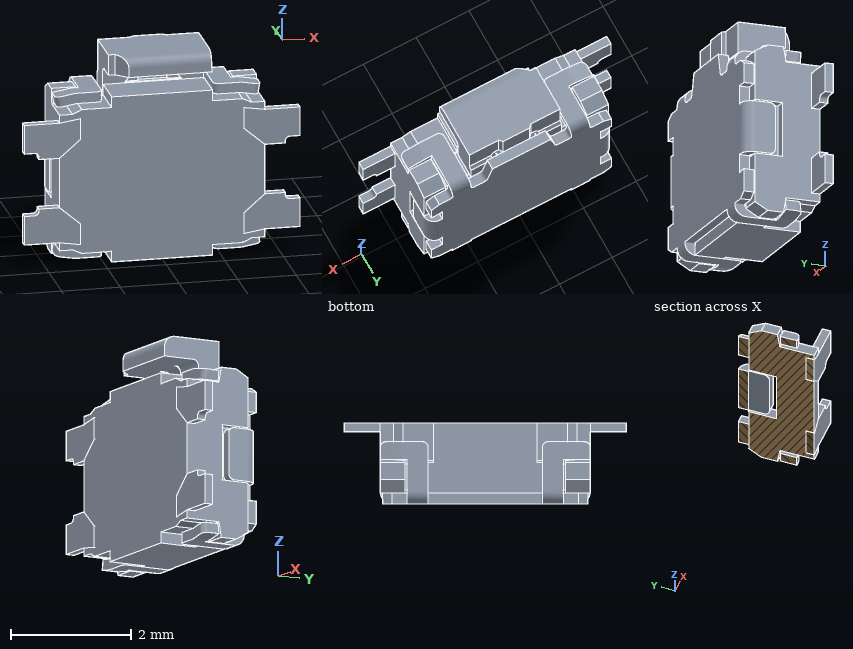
import cadquery as cq
import math


body_width = 3.5
body_height = 2.9
base_depth = 1.17
sheet = 0.18
bend_radius = 0.2

half_width = body_width / 2
half_height = body_height / 2
cover_back = base_depth + sheet
inner_bend_radius = bend_radius - sheet
bend_chord = math.sqrt(0.5)

wall_half_width = 0.86
front_wall_depth = 0.68
ledge_z = 1.263
ledge_tip_z = 1.19
ledge_slope_x = (1.37, 1.53)
ledge_bottom_y = 0.61
ledge_top_y = 0.655
channel_z = 1.2
channel_chamfer = 0.055
channel_outer_x = 1.34
corner_slope_y = 0.94
corner_slope_z = 1.32

arm_inner_x = 0.95
arm_outer_x = 1.3
clip_front_y = 0.31
foot_back_y = ledge_bottom_y
foot_bend_x = 1.385
foot_angle = math.radians(9.7)
foot_bend_radius = 0.34
clip_corner_radius = 0.1

plate_half_width = 1.71
plate_corner_drop = 0.09
plate_corner_x = 1.555
plate_top_z = 1.19
plate_bottom_z = 1.235
side_notch_x = 1.5
side_notch_z = 0.755
top_tab_z = 1.6
top_tab_half_width = 0.55
top_tab_root_half_width = 0.63
top_tab_root_radius = 0.09

tab_half_height = 0.445
tab_front_y = 0.8
tab_corner_radius = 0.1
tab_pocket_half_height = 0.47
tab_pocket_front_y = 0.675
tab_pocket_depth = bend_radius

actuator_half_width = wall_half_width
actuator_top = 2.1
stem_bottom = 0.9
stem_front_y = 0.72
hook_front_y = 0.07
hook_bottom = 1.745
hook_radius = 0.2
stem_fillet = 0.1
back_relief = 0.055
back_relief_z = 1.51
rib_half_width = 0.25
rib_wing_top = 1.6
rib_wing_half_width = 0.36
rib_foot_half_width = 0.48
wing_recess = 0.05
slot_recess = 0.1

terminal_thickness = 0.15
terminal_tip_x = 2.35
terminal_inner_x = 1.395
terminal_outer_z = 1.05
terminal_inner_z = 1.105
terminal_taper_z = 0.74
terminal_lower_z = 0.434
terminal_step_x = 2.1
terminal_step_z = 0.547
terminal_step_radius = 0.08


def extrude_x(sketch_yz, x_from, x_to):
    """Extrude a closed YZ sketch between two X positions."""
    return sketch_yz.extrude(x_to - x_from).translate((x_from, 0, 0))


def extrude_y(sketch_xz, y_from, y_to):
    """Extrude a closed XZ sketch between two Y positions."""
    return sketch_xz.extrude(y_from - y_to).translate((0, y_from, 0))


def box(x_from, x_to, y_from, y_to, z_from, z_to):
    size = (x_to - x_from, y_to - y_from, z_to - z_from)
    return cq.Workplane("XY").box(*size, centered=False).translate((x_from, y_from, z_from))


def with_x_mirror(shape):
    return shape.union(shape.mirror("YZ"))


def ledge_cut():
    """Stepped floor in front of one corner block, ending at a slanted wall."""
    slope_start, slope_end = ledge_slope_x
    floor = extrude_y(
        cq.Workplane("XZ").polyline([
            (wall_half_width, half_height),
            (wall_half_width, ledge_z),
            (slope_start, ledge_z),
            (slope_end, ledge_tip_z),
            (half_width, ledge_tip_z),
            (half_width, half_height),
        ]).close(), 0, base_depth)
    slanted_wall = extrude_x(
        cq.Workplane("YZ").polyline([
            (0, ledge_tip_z),
            (ledge_bottom_y, ledge_tip_z),
            (ledge_top_y, half_height),
            (0, half_height),
        ]).close(), 0, half_width)
    return floor.intersect(slanted_wall)


def channel_cut(x_from):
    """Channel that one clip arm lies in, chamfered at the back for the cover bend."""
    profile = cq.Workplane("YZ").polyline([
        (ledge_bottom_y, half_height),
        (ledge_bottom_y, ledge_z),
        (front_wall_depth, ledge_z),
        (front_wall_depth, channel_z),
        (base_depth - channel_chamfer, channel_z),
        (base_depth, channel_z - channel_chamfer),
        (base_depth, half_height),
    ]).close()
    return extrude_x(profile, x_from, channel_outer_x)


def corner_slope_cut():
    """Sloped back edge of one corner block."""
    profile = cq.Workplane("YZ").polyline([
        (corner_slope_y, half_height),
        (base_depth, corner_slope_z),
        (base_depth, half_height),
    ]).close()
    return extrude_x(profile, channel_outer_x, half_width)


def tab_pocket():
    return box(half_width - tab_pocket_depth, half_width, tab_pocket_front_y, base_depth,
               -tab_pocket_half_height, tab_pocket_half_height)


def make_base(terminals):
    base = box(-half_width, half_width, 0, base_depth, -half_height, half_height)
    corner = ledge_cut().union(corner_slope_cut())
    top_cuts = with_x_mirror(corner.union(channel_cut(wall_half_width)))
    bottom_cuts = with_x_mirror(corner.union(channel_cut(arm_inner_x))).mirror("XY")
    base = base.cut(top_cuts).cut(bottom_cuts).cut(with_x_mirror(tab_pocket()))

    cavity = box(-wall_half_width, wall_half_width, front_wall_depth, base_depth, channel_z, half_height)
    stem_pocket = box(-actuator_half_width, actuator_half_width, stem_front_y, base_depth,
                      stem_bottom, half_height)
    base = base.cut(cavity).cut(stem_pocket)
    for terminal in terminals:
        base = base.cut(terminal)
    return base


def plate_and_arm(root_z):
    """One quarter of the cover plate, ending at root_z, and its bent clip arm."""
    relief_radius = half_height - bend_radius - root_z
    outline = (
        cq.Workplane("XZ")
        .lineTo(side_notch_x, 0)
        .lineTo(side_notch_x, side_notch_z)
        .lineTo(plate_half_width, side_notch_z)
        .lineTo(plate_half_width, root_z - plate_corner_drop)
        .lineTo(plate_corner_x, root_z)
        .lineTo(arm_outer_x + relief_radius, root_z)
        .radiusArc((arm_outer_x, root_z + relief_radius), relief_radius)
        .lineTo(arm_outer_x, half_height)
        .lineTo(arm_inner_x, half_height)
        .lineTo(arm_inner_x, root_z + relief_radius)
        .radiusArc((arm_inner_x - relief_radius, root_z), relief_radius)
        .lineTo(0, root_z)
        .close()
    )
    bend_y = cover_back - bend_radius
    bend_z = half_height - bend_radius
    bent_sheet = (
        cq.Workplane("YZ")
        .moveTo(cover_back, 0)
        .lineTo(cover_back, bend_z)
        .threePointArc((bend_y + bend_radius * bend_chord, bend_z + bend_radius * bend_chord),
                       (bend_y, half_height))
        .lineTo(clip_front_y, half_height)
        .lineTo(clip_front_y, half_height - sheet)
        .lineTo(bend_y, half_height - sheet)
        .threePointArc((bend_y + inner_bend_radius * bend_chord, bend_z + inner_bend_radius * bend_chord),
                       (base_depth, bend_z))
        .lineTo(base_depth, 0)
        .close()
    )
    return extrude_y(outline, clip_front_y, cover_back).intersect(extrude_x(bent_sheet, 0, half_width))


def clip_foot():
    """Outward foot at the end of a clip arm, bent slightly inwards over the ledge."""
    inner_radius = foot_bend_radius - sheet
    bend_z = half_height - foot_bend_radius

    def on_bend(radius, angle, reach=0.0):
        x = foot_bend_x + radius * math.sin(angle) + reach * math.cos(angle)
        return x, bend_z + radius * math.cos(angle) - reach * math.sin(angle)

    bend_end_x = on_bend(foot_bend_radius, foot_angle)[0]
    reach = (half_width - bend_end_x) / math.cos(foot_angle)
    profile = (
        cq.Workplane("XZ")
        .moveTo(arm_inner_x, half_height)
        .lineTo(foot_bend_x, half_height)
        .threePointArc(on_bend(foot_bend_radius, foot_angle / 2), on_bend(foot_bend_radius, foot_angle))
        .lineTo(*on_bend(foot_bend_radius, foot_angle, reach))
        .lineTo(*on_bend(inner_radius, foot_angle, reach))
        .lineTo(*on_bend(inner_radius, foot_angle))
        .threePointArc(on_bend(inner_radius, foot_angle / 2), (foot_bend_x, half_height - sheet))
        .lineTo(arm_inner_x, half_height - sheet)
        .close()
    )
    foot = extrude_y(profile, clip_front_y, foot_back_y)
    for end_face in (">X", "<X"):
        foot = foot.faces(end_face).edges("<Y").fillet(clip_corner_radius)
    return foot


def cover_quarter(root_z):
    arm_end = box(arm_inner_x, arm_outer_x, clip_front_y, foot_back_y, half_height - sheet, half_height)
    return plate_and_arm(root_z).cut(arm_end).union(clip_foot())


def top_tab():
    """Upright tab behind the actuator."""
    root_z = plate_top_z
    half = (
        cq.Workplane("XZ")
        .lineTo(top_tab_root_half_width + top_tab_root_radius, 0)
        .lineTo(top_tab_root_half_width + top_tab_root_radius, root_z)
        .radiusArc((top_tab_root_half_width, root_z + top_tab_root_radius), top_tab_root_radius)
        .lineTo(top_tab_half_width, top_tab_z)
        .lineTo(0, top_tab_z)
        .close()
    )
    return with_x_mirror(extrude_y(half, base_depth, cover_back))


def side_tab():
    """Tab bent from the plate into the pocket in one side of the base."""
    bend_x = half_width - bend_radius
    bend_y = cover_back - bend_radius
    profile = (
        cq.Workplane("XY")
        .moveTo(0, cover_back)
        .lineTo(bend_x, cover_back)
        .threePointArc((bend_x + bend_radius * bend_chord, bend_y + bend_radius * bend_chord),
                       (half_width, bend_y))
        .lineTo(half_width, tab_front_y)
        .lineTo(half_width - sheet, tab_front_y)
        .lineTo(half_width - sheet, bend_y)
        .threePointArc((bend_x + inner_bend_radius * bend_chord, bend_y + inner_bend_radius * bend_chord),
                       (bend_x, base_depth))
        .lineTo(0, base_depth)
        .close()
    )
    tab = profile.extrude(tab_half_height, both=True)
    return tab.edges("|X and <Y").fillet(tab_corner_radius)


def make_cover():
    cover = with_x_mirror(cover_quarter(plate_top_z).union(cover_quarter(plate_bottom_z).mirror("XY")))
    return cover.union(top_tab()).union(with_x_mirror(side_tab()))


def rib_outline(top_z):
    """Upright rib with two splayed wings at its foot."""
    right_side = [
        (rib_foot_half_width, half_height),
        (rib_wing_half_width, rib_wing_top),
        (rib_half_width, rib_wing_top),
        (rib_half_width, top_z),
    ]
    left_side = [(-x, z) for x, z in reversed(right_side)]
    return cq.Workplane("XZ").polyline(right_side + left_side).close()


def hook_end_cut():
    """Diagonal cut across the -X end of the hook lip."""
    end_x = -actuator_half_width
    flat_end_x = -0.75
    lip_back_y = hook_front_y + hook_radius
    return (
        cq.Workplane("XY")
        .polyline([
            (end_x, hook_front_y),
            (end_x, lip_back_y),
            (flat_end_x, lip_back_y),
            (flat_end_x + hook_radius, hook_front_y),
        ])
        .close()
        .extrude(actuator_top)
    )


def front_recess_cut():
    """Shallow rib-shaped recess in the stem front, running up into the hook fillet."""
    floor_y = stem_front_y + slot_recess
    fillet_z = hook_bottom - stem_fillet
    slot = extrude_x(
        cq.Workplane("YZ")
        .moveTo(stem_front_y - stem_fillet, half_height)
        .lineTo(floor_y, half_height)
        .lineTo(floor_y, fillet_z)
        .radiusArc((floor_y - stem_fillet, hook_bottom), -stem_fillet)
        .lineTo(stem_front_y - stem_fillet, hook_bottom)
        .close(), -rib_half_width, rib_half_width)
    wings = extrude_y(rib_outline(fillet_z), stem_front_y, stem_front_y + wing_recess)
    return slot.union(wings)


def back_rib():
    """Rib standing in the back relief, with 45 degree sides."""
    rib = rib_outline(actuator_top).extrude(back_relief, taper=-45).translate((0, base_depth, 0))
    return rib.intersect(box(-actuator_half_width, actuator_half_width, 0, base_depth, 0, actuator_top))


def make_actuator():
    relief_y = base_depth - back_relief
    profile = (
        cq.Workplane("YZ")
        .moveTo(stem_front_y, stem_bottom)
        .lineTo(base_depth, stem_bottom)
        .lineTo(base_depth, back_relief_z)
        .lineTo(relief_y, back_relief_z + back_relief)
        .lineTo(relief_y, actuator_top)
        .lineTo(hook_front_y + hook_radius, actuator_top)
        .radiusArc((hook_front_y, actuator_top - hook_radius), -hook_radius)
        .lineTo(hook_front_y, hook_bottom)
        .lineTo(stem_front_y - stem_fillet, hook_bottom)
        .radiusArc((stem_front_y, hook_bottom - stem_fillet), stem_fillet)
        .close()
    )
    actuator = extrude_x(profile, -actuator_half_width, actuator_half_width)
    return actuator.union(back_rib()).cut(hook_end_cut()).cut(front_recess_cut())


def make_terminal():
    """Terminal at +X, +Z: an anchor flush in the base face and a stepped solder leg."""
    outline = (
        cq.Workplane("XZ")
        .moveTo(terminal_tip_x, terminal_outer_z)
        .lineTo(half_width, terminal_outer_z)
        .lineTo(terminal_inner_x, terminal_inner_z)
        .lineTo(terminal_inner_x, terminal_taper_z)
        .lineTo(half_width, terminal_lower_z)
        .lineTo(terminal_step_x, terminal_lower_z)
        .lineTo(terminal_step_x, terminal_step_z - terminal_step_radius)
        .radiusArc((terminal_step_x + terminal_step_radius, terminal_step_z), terminal_step_radius)
        .lineTo(terminal_tip_x, terminal_step_z)
        .close()
    )
    return extrude_y(outline, 0, terminal_thickness)


terminals = []
for flip_z in (False, True):
    for flip_x in (False, True):
        terminal = make_terminal()
        if flip_z:
            terminal = terminal.mirror("XY")
        if flip_x:
            terminal = terminal.mirror("YZ")
        terminals.append(terminal)

base = make_base(terminals)
cover = make_cover()
actuator = make_actuator()

result = cq.Compound.makeCompound([
    base.val(),
    cover.val(),
    actuator.val(),
    *[terminal.val() for terminal in terminals],
])